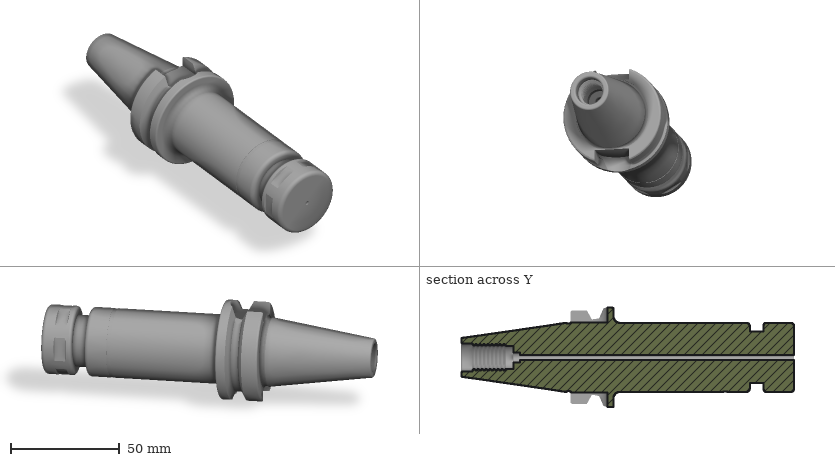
import cadquery as cq
import math

LENGTH = 153.4

TAPER_RATE = 7 / 24
GAUGE_X = 48.2
GAUGE_RADIUS = 32.0 / 2
NOSE_FILLET = 0.8
SHANK_NECK_X = 49.1
SHANK_NECK_RADIUS = 15.6

FLANGE_START = 50.5
FLANGE_END = 70.3
FLANGE_RADIUS = 23.0
FRONT_FILLET = 0.9
REAR_FILLET = 0.8
GROOVE_START = 58.0
GROOVE_END = 65.7
GROOVE_FLOOR_START = 60.3
GROOVE_FLOOR_END = 63.7
GROOVE_FLOOR_RADIUS = 19.2

RECESS_RADIUS = 17.0
RECESS_FILLET = RECESS_RADIUS - SHANK_NECK_RADIUS
RECESS_START = 49.5
RECESS_FLOOR_X = RECESS_START + RECESS_FILLET

DRIVE_SLOT_WIDTH = 16.3
DRIVE_SLOT_END = 67.3
DRIVE_SLOT_FLOOR = 16.3

BODY_RADIUS = 32.0 / 2
HUB_FILLET = 2.8
BODY_END = 133.0
BODY_FILLET = 1.8
BAND_START = 120.7
BAND_END = 122.5
BAND_DEPTH = 0.2
NECK_RADIUS = 24.0 / 2
NUT_START = 139.1
NUT_FRONT_FILLET = 1.4
NUT_REAR_FILLET = 1.8

FLAT_COUNT = 6
FLAT_DISTANCE = 15.0
FLAT_START = 142.0
FLAT_END = 147.1
FLAT_WALL_FLARE = 0.38

MOUTH_RADIUS = 14.5 / 2
PILOT_RADIUS = 12.7 / 2
PILOT_DEPTH = 5.2
THREAD_MAJOR_RADIUS = 12.0 / 2
THREAD_MINOR_RADIUS = 10.5 / 2
THREAD_PITCH = 1.8
THREAD_GROOVE_COUNT = 8
BORE_DEPTH = 24.0
COUNTERBORE_MOUTH_RADIUS = 5.0 / 2
COUNTERBORE_RADIUS = 4.5 / 2
COUNTERBORE_DEPTH = 3.0
COOLANT_RADIUS = 2.0 / 2

ARC_MIDDLE = math.sqrt(0.5)


def taper_radius(x):
    """Radius of the taper at a given X."""
    return GAUGE_RADIUS - (GAUGE_X - x) * TAPER_RATE / 2


def add_quarter_round(outline, start, end, centre):
    """Draw a line to start, then a quarter-circle to end about centre."""
    middle = [c + ARC_MIDDLE * (s + e - 2 * c) for s, e, c in zip(start, end, centre)]
    return outline.lineTo(*start).threePointArc(tuple(middle), end)


def add_front_round(outline, x, radius, fillet):
    """Go up a face at x and round its outer edge onto a cylinder of the given radius."""
    inner = radius - fillet
    return add_quarter_round(outline, (x, inner), (x + fillet, radius), (x + fillet, inner))


def add_rear_round(outline, x, radius, fillet):
    """Follow a cylinder of the given radius and round its edge down onto a face at x."""
    inner = radius - fillet
    return add_quarter_round(outline, (x - fillet, radius), (x, inner), (x - fillet, inner))


def revolve_about_x(outline):
    return outline.close().revolve(360, (0, 0, 0), (1, 0, 0))


def add_shank(outline):
    """Taper with a rounded nose, ending in the neck and the recess in the flange face."""
    nose_edge_radius = taper_radius(NOSE_FILLET)
    outline = add_front_round(outline, 0, nose_edge_radius, NOSE_FILLET)
    outline = outline.lineTo(GAUGE_X, GAUGE_RADIUS).lineTo(SHANK_NECK_X, SHANK_NECK_RADIUS)
    outline = add_quarter_round(
        outline,
        (RECESS_START, SHANK_NECK_RADIUS),
        (RECESS_FLOOR_X, RECESS_RADIUS),
        (RECESS_START, RECESS_RADIUS),
    )
    return outline.lineTo(FLANGE_START, RECESS_RADIUS)


def add_flange(outline):
    outline = add_front_round(outline, FLANGE_START, FLANGE_RADIUS, FRONT_FILLET)
    outline = (
        outline.lineTo(GROOVE_START, FLANGE_RADIUS)
        .lineTo(GROOVE_FLOOR_START, GROOVE_FLOOR_RADIUS)
        .lineTo(GROOVE_FLOOR_END, GROOVE_FLOOR_RADIUS)
        .lineTo(GROOVE_END, FLANGE_RADIUS)
    )
    return add_rear_round(outline, FLANGE_END, FLANGE_RADIUS, REAR_FILLET)


def add_body(outline):
    """Cylinder filleted into the flange, with its shallow band, and the neck behind it."""
    hub_end = FLANGE_END + HUB_FILLET
    hub_top = BODY_RADIUS + HUB_FILLET
    outline = add_quarter_round(
        outline, (FLANGE_END, hub_top), (hub_end, BODY_RADIUS), (hub_end, hub_top)
    )
    band_radius = BODY_RADIUS - BAND_DEPTH
    outline = (
        outline.lineTo(BAND_START, BODY_RADIUS)
        .lineTo(BAND_START, band_radius)
        .lineTo(BAND_END, band_radius)
        .lineTo(BAND_END, BODY_RADIUS)
    )
    outline = add_rear_round(outline, BODY_END, BODY_RADIUS, BODY_FILLET)
    return outline.lineTo(BODY_END, NECK_RADIUS).lineTo(NUT_START, NECK_RADIUS)


def add_nut(outline):
    outline = add_front_round(outline, NUT_START, BODY_RADIUS, NUT_FRONT_FILLET)
    return add_rear_round(outline, LENGTH, BODY_RADIUS, NUT_REAR_FILLET)


def turned_body():
    """Revolve the outer outline, drawn as (X, radius) points from nose to nut."""
    outline = cq.Workplane("XY").moveTo(0, 0)
    for add_section in (add_shank, add_flange, add_body, add_nut):
        outline = add_section(outline)
    return revolve_about_x(outline.lineTo(LENGTH, 0))


def pull_stud_bore():
    """Round-mouthed pilot, ring-shaped thread grooves, and a coolant hole through the whole part."""
    outline = cq.Workplane("XY").moveTo(0, 0)
    mouth_fillet = MOUTH_RADIUS - PILOT_RADIUS
    outline = add_quarter_round(
        outline, (0, MOUTH_RADIUS), (mouth_fillet, PILOT_RADIUS), (mouth_fillet, MOUTH_RADIUS)
    )
    outline = outline.lineTo(PILOT_DEPTH, PILOT_RADIUS).lineTo(PILOT_DEPTH, THREAD_MAJOR_RADIUS)

    thread_start = PILOT_DEPTH + THREAD_MAJOR_RADIUS - THREAD_MINOR_RADIUS
    outline = outline.lineTo(thread_start, THREAD_MINOR_RADIUS)
    for index in range(THREAD_GROOVE_COUNT):
        crest = thread_start + index * THREAD_PITCH
        outline = outline.lineTo(crest + THREAD_PITCH / 2, THREAD_MAJOR_RADIUS)
        outline = outline.lineTo(crest + THREAD_PITCH, THREAD_MINOR_RADIUS)

    chamfer = COUNTERBORE_MOUTH_RADIUS - COUNTERBORE_RADIUS
    counterbore_end = BORE_DEPTH + COUNTERBORE_DEPTH
    outline = (
        outline.lineTo(BORE_DEPTH, THREAD_MINOR_RADIUS)
        .lineTo(BORE_DEPTH, COUNTERBORE_MOUTH_RADIUS)
        .lineTo(BORE_DEPTH + chamfer, COUNTERBORE_RADIUS)
        .lineTo(counterbore_end, COUNTERBORE_RADIUS)
        .lineTo(counterbore_end, COOLANT_RADIUS)
        .lineTo(LENGTH, COOLANT_RADIUS)
        .lineTo(LENGTH, 0)
    )
    return revolve_about_x(outline)


def drive_slot():
    """Round-ended cutter on the +Z side, clear of the taper in front of the flange."""
    half_width = DRIVE_SLOT_WIDTH / 2
    round_centre = DRIVE_SLOT_END - half_width
    return (
        cq.Workplane("XY", origin=(0, 0, DRIVE_SLOT_FLOOR))
        .moveTo(GAUGE_X, -half_width)
        .lineTo(round_centre, -half_width)
        .threePointArc((DRIVE_SLOT_END, 0), (round_centre, half_width))
        .lineTo(GAUGE_X, half_width)
        .close()
        .extrude(FLANGE_RADIUS)
    )


def spanner_flat():
    """Cutter for the flat on the +Y side of the nut, with end walls that lean outward."""
    return (
        cq.Workplane("XY")
        .moveTo(FLAT_START, FLAT_DISTANCE)
        .lineTo(FLAT_END, FLAT_DISTANCE)
        .lineTo(FLAT_END + FLAT_WALL_FLARE, BODY_RADIUS)
        .lineTo(FLAT_START - FLAT_WALL_FLARE, BODY_RADIUS)
        .close()
        .extrude(BODY_RADIUS, both=True)
    )


def turned(cutter, angle):
    """Cutter swung about the X axis."""
    return cutter.rotate((0, 0, 0), (1, 0, 0), angle)


result = turned_body().cut(pull_stud_bore())

for side_angle in (0, 180):
    result = result.cut(turned(drive_slot(), side_angle))

for flat_index in range(FLAT_COUNT):
    result = result.cut(turned(spanner_flat(), flat_index * 360 / FLAT_COUNT))